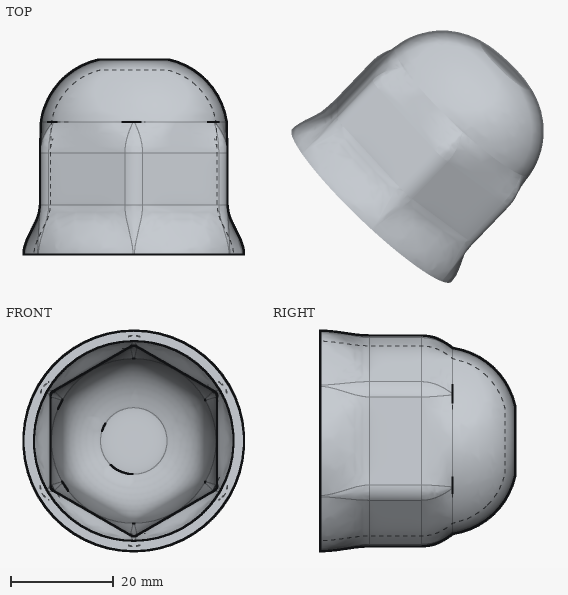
import cadquery as cq
import math

RIM_RADIUS = 21.5
HEIGHT = 38.0
WALL = 2.05
HALF_FLATS = 18.28
CORNER_RADIUS = 3.45
SKIRT_TOP = 9.65
SHOULDER_START = 19.8
DOME_START = 25.8
DOME_CENTRE_Y = 23.65
CROWN_FLAT_RADIUS = 6.7
SEAM_ANGLE = math.radians(0.4)
SKIRT_STEPS = 7
SHOULDER_STEPS = 5

HALF_SECTOR = math.radians(30)

crown_rise = HEIGHT - DOME_CENTRE_Y
crown_inset = HALF_FLATS - CROWN_FLAT_RADIUS
dome_arc_radius = (crown_rise**2 + crown_inset**2) / (2 * crown_inset)
dome_centre_radius = HALF_FLATS - dome_arc_radius


def polar(radius, angle):
    return (radius * math.cos(angle), radius * math.sin(angle))


def hexagon_radii(inset):
    """Radius to a flat's middle, to a corner strip's edge and to its middle, and the strip's half angle."""
    apothem = HALF_FLATS - inset
    rounding = CORNER_RADIUS - inset
    half_flat = (apothem - rounding) * math.tan(HALF_SECTOR)
    edge_radius = math.hypot(apothem, half_flat)
    strip_angle = HALF_SECTOR - math.atan2(half_flat, apothem)
    corner_reach = (apothem - rounding) / math.cos(HALF_SECTOR) + rounding
    return apothem, edge_radius, corner_reach, strip_angle


def section(y, inset, round_radius, roundness):
    """Closed outline between the hexagon (roundness 0) and a circle (roundness 1)."""
    circle = (round_radius, round_radius, round_radius, SEAM_ANGLE)
    side, edge, corner, strip = [
        (1 - roundness) * flat + roundness * curved
        for flat, curved in zip(hexagon_radii(inset), circle)
    ]
    first_corner = math.pi / 2
    outline = cq.Workplane("XZ", origin=(0, y, 0)).moveTo(*polar(edge, first_corner - strip))
    for index in range(6):
        angle = first_corner + 2 * index * HALF_SECTOR
        next_angle = angle + 2 * HALF_SECTOR
        outline = outline.threePointArc(polar(corner, angle), polar(edge, angle + strip))
        side_end = polar(edge, next_angle - strip)
        if roundness == 0:
            outline = outline.lineTo(*side_end)
        else:
            outline = outline.threePointArc(polar(side, angle + HALF_SECTOR), side_end)
    return outline.close().val()


def skirt(inset):
    """Flare with an S-shaped profile from the round rim to the hexagon."""
    sections = []
    for step in range(SKIRT_STEPS + 1):
        part_way = step / SKIRT_STEPS
        roundness = 1 - part_way**2 * (3 - 2 * part_way)
        sections.append(section(part_way * SKIRT_TOP, inset, RIM_RADIUS - inset, roundness))
    return cq.Workplane(cq.Solid.makeLoft(sections))


def hexagon(inset):
    length = SHOULDER_START - SKIRT_TOP
    base = cq.Face.makeFromWires(section(SKIRT_TOP, inset, HALF_FLATS, 0))
    return cq.Workplane(cq.Solid.extrudeLinear(base, cq.Vector(0, length, 0)))


def dome_radius(y, inset):
    arc_radius = dome_arc_radius - inset
    return dome_centre_radius + math.sqrt(arc_radius**2 - (y - DOME_CENTRE_Y)**2)


def shoulder(inset):
    """Hexagon corners curving inward to the round foot of the dome."""
    sections = []
    for step in range(SHOULDER_STEPS + 1):
        part_way = step / SHOULDER_STEPS
        y = SHOULDER_START + part_way * (DOME_START - SHOULDER_START)
        sections.append(section(y, inset, dome_radius(DOME_START, inset), part_way**2))
    return cq.Workplane(cq.Solid.makeLoft(sections))


def dome(inset):
    top = HEIGHT - inset
    middle = (DOME_START + top) / 2
    return (
        cq.Workplane("XY")
        .moveTo(0, DOME_START)
        .lineTo(dome_radius(DOME_START, inset), DOME_START)
        .threePointArc((dome_radius(middle, inset), middle), (dome_radius(top, inset), top))
        .lineTo(0, top)
        .close()
        .revolve(360, (0, 0, 0), (0, 1, 0))
    )


def cap_form(inset):
    """Solid cap shape, shrunk inward by the inset."""
    return skirt(inset).union(hexagon(inset)).union(shoulder(inset)).union(dome(inset))


result = cap_form(0).cut(cap_form(WALL))